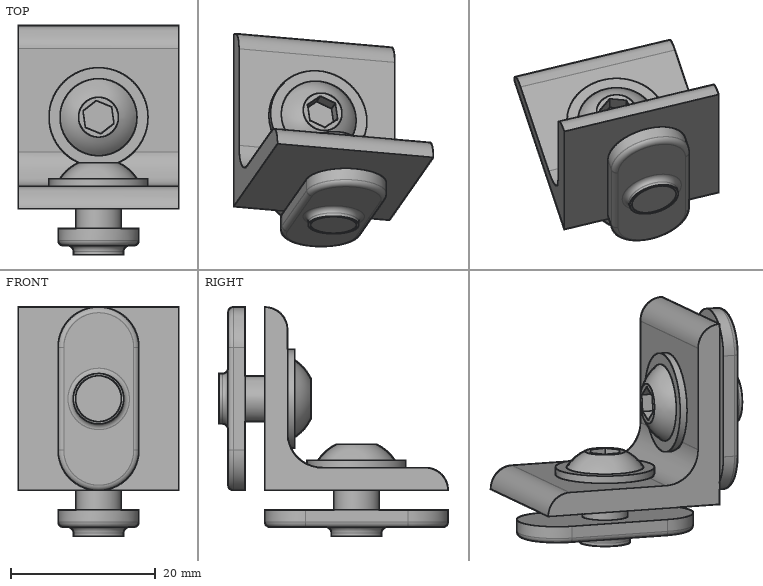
import cadquery as cq
import math

bracket_width = 22.22
leg_length = 25.4
leg_thickness = 3.18
inner_radius = 4.75
bolt_offset = leg_length / 2

nut_gap = 2.7
plate_width = 11.2
plate_thickness = 2.38
collar_radius = 3.5
collar_height = 1.27
nut_fillet = 0.75

shank_radius = 3.18
flange_radius = 6.85
flange_thickness = 1.02
dome_base_radius = 5.33
dome_top_radius = 2.75
dome_height = 2.22
socket_across_flats = 4.0
socket_depth = 2.22
socket_angle = 38.0

plate_top = -nut_gap
plate_bottom = plate_top - plate_thickness
collar_bottom = plate_bottom - collar_height
flange_top = leg_thickness + flange_thickness
dome_top = flange_top + dome_height


def cylinder(radius, bottom, top):
    """Vertical cylinder on the bolt axis of the horizontal leg."""
    return (
        cq.Workplane("XY", origin=(0, bolt_offset, bottom))
        .circle(radius)
        .extrude(top - bottom)
    )


def to_upright_leg(body):
    """Half turn about the corner's diagonal, which swaps the two legs."""
    return body.rotate((0, 0, 0), (0, 1, 1), 180)


def make_bracket():
    diagonal = math.sqrt(0.5)
    toe_center = leg_length - leg_thickness
    toe_mid = leg_thickness * diagonal
    inner_tangent = leg_thickness + inner_radius
    inner_mid = inner_tangent - inner_radius * diagonal
    bracket = (
        cq.Workplane("YZ")
        .lineTo(leg_length, 0)
        .threePointArc((toe_center + toe_mid, toe_mid), (toe_center, leg_thickness))
        .lineTo(inner_tangent, leg_thickness)
        .threePointArc((inner_mid, inner_mid), (leg_thickness, inner_tangent))
        .lineTo(leg_thickness, toe_center)
        .threePointArc((toe_mid, toe_center + toe_mid), (0, leg_length))
        .close()
        .extrude(bracket_width / 2, both=True)
    )
    hole = cylinder(shank_radius, 0, leg_thickness)
    seat = cylinder(flange_radius, leg_thickness, flange_top)
    for cutter in (hole, seat):
        bracket = bracket.cut(cutter).cut(to_upright_leg(cutter))
    return bracket


def make_bolt():
    center_drop = (dome_top_radius**2 + dome_height**2 - dome_base_radius**2) / (2 * dome_height)
    sphere_center = flange_top + center_drop
    sphere_radius = math.hypot(dome_base_radius, center_drop)
    mid_height = flange_top + dome_height / 2
    mid_radius = math.sqrt(sphere_radius**2 - (mid_height - sphere_center) ** 2)
    bolt = (
        cq.Workplane("XZ", origin=(0, bolt_offset, 0))
        .moveTo(0, collar_bottom)
        .lineTo(shank_radius, collar_bottom)
        .lineTo(shank_radius, leg_thickness)
        .lineTo(flange_radius, leg_thickness)
        .lineTo(flange_radius, flange_top)
        .lineTo(dome_base_radius, flange_top)
        .threePointArc((mid_radius, mid_height), (dome_top_radius, dome_top))
        .lineTo(0, dome_top)
        .close()
        .revolve(360, (0, 0, 0), (0, 1, 0))
    )
    socket_diameter = socket_across_flats / math.cos(math.pi / 6)
    socket = (
        cq.Workplane("XY", origin=(0, bolt_offset, dome_top))
        .transformed(rotate=(0, 0, socket_angle))
        .polygon(6, socket_diameter)
        .extrude(-socket_depth)
    )
    return bolt.cut(socket)


def make_nut():
    plate = (
        cq.Workplane("XY", origin=(0, bolt_offset, plate_bottom))
        .slot2D(leg_length, plate_width, 90)
        .extrude(plate_thickness)
        .faces("<Z")
        .edges()
        .fillet(nut_fillet)
    )
    flare_radius = collar_radius + nut_fillet
    flare_bottom = plate_bottom - nut_fillet
    collar = (
        cq.Workplane("XZ", origin=(0, bolt_offset, 0))
        .moveTo(0, collar_bottom)
        .lineTo(collar_radius, collar_bottom)
        .lineTo(collar_radius, flare_bottom)
        .radiusArc((flare_radius, plate_bottom), nut_fillet)
        .lineTo(0, plate_bottom)
        .close()
        .revolve(360, (0, 0, 0), (0, 1, 0))
    )
    hole = cylinder(shank_radius, collar_bottom, plate_top)
    return plate.union(collar).cut(hole)


bracket = make_bracket()

fasteners = []
for make_body in (make_bolt, make_nut):
    body = make_body()
    fasteners.append(body.val())
    fasteners.append(to_upright_leg(body).val())

result = cq.Compound.makeCompound([bracket.val(), *fasteners])